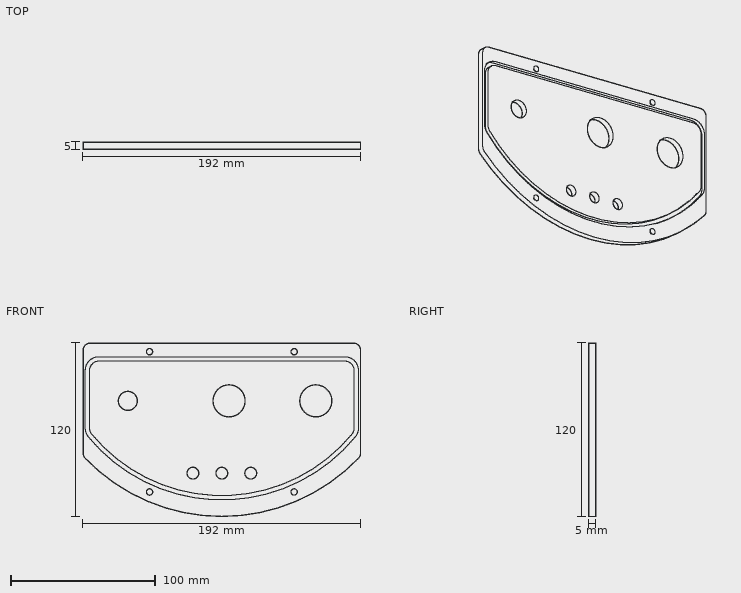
import cadquery as cq
import math

width = 192.0
height = 120.0
thickness = 5.0
arc_radius = 131.0
corner_radius = 5.0

groove_width = 3.0
groove_depth = 3.0
groove_side_margin = 1.5
groove_top_margin = 9.5
groove_arc_margin = 11.5
groove_outer_radius = 9.5

large_hole_diameter = 22.0
medium_hole_diameter = 13.0
small_hole_diameter = 8.0
screw_hole_diameter = 4.2
main_row_drop = 40.0
small_row_drop = 90.0
large_hole_xs = (5.0, 65.0)
medium_hole_x = -65.0
small_hole_pitch = 20.0
screw_half_spacing = 50.0
screw_row_drops = (6.0, 103.0)

top_z = height / 2
front_y = -thickness / 2
arc_center_z = arc_radius - height / 2


def rounded_outline(half_width, upper_z, bottom_radius, fillet_radius, front, depth):
    """Solid D-shaped block reaching from the front plane towards +Y."""
    corner_z = arc_center_z - math.sqrt(bottom_radius**2 - half_width**2)
    lowest_z = arc_center_z - bottom_radius
    return (
        cq.Workplane("XZ", origin=(0, front, 0))
        .moveTo(-half_width, upper_z)
        .lineTo(half_width, upper_z)
        .lineTo(half_width, corner_z)
        .threePointArc((0, lowest_z), (-half_width, corner_z))
        .close()
        .extrude(-depth)
        .edges("|Y")
        .fillet(fillet_radius)
    )


def groove_block(inset):
    """Block bounded by the groove's outer wall moved inwards by the inset."""
    return rounded_outline(
        width / 2 - groove_side_margin - inset,
        top_z - groove_top_margin - inset,
        arc_radius - groove_arc_margin - inset,
        groove_outer_radius - inset,
        front_y,
        groove_depth,
    )


def hole_cutters(diameter, centers):
    """Cylinders through the full thickness at the given (x, z) centres."""
    return (
        cq.Workplane("XZ", origin=(0, front_y, 0))
        .pushPoints(centers)
        .circle(diameter / 2)
        .extrude(-thickness)
    )


plate = rounded_outline(width / 2, top_z, arc_radius, corner_radius, front_y, thickness)
groove = groove_block(0).cut(groove_block(groove_width))

main_row_z = top_z - main_row_drop
small_row_z = top_z - small_row_drop
hole_groups = [
    (large_hole_diameter, [(x, main_row_z) for x in large_hole_xs]),
    (medium_hole_diameter, [(medium_hole_x, main_row_z)]),
    (small_hole_diameter, [(i * small_hole_pitch, small_row_z) for i in (-1, 0, 1)]),
    (
        screw_hole_diameter,
        [(side * screw_half_spacing, top_z - drop) for side in (-1, 1) for drop in screw_row_drops],
    ),
]

result = plate.cut(groove)
for diameter, centers in hole_groups:
    result = result.cut(hole_cutters(diameter, centers))